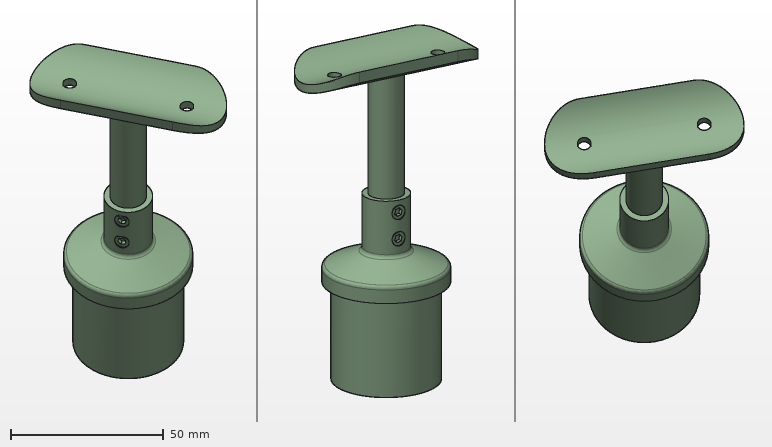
import cadquery as cq
import math

total_height = 115.3

plug_diameter = 36.4
plug_height = 34.0
flange_diameter = 42.4
rim_height = 39.8
neck_height = 45.2
collar_diameter = 16.0
collar_top = 64.9
shoulder_fillet = 1.5

rod_diameter = 12.0

saddle_length = 66.0
saddle_width = 28.0
saddle_thickness = 3.0
rail_radius = 21.2

saddle_hole_diameter = 4.5
saddle_hole_spacing = 40.0

set_screw_diameter = 5.0
socket_corner_diameter = 2.9
socket_angle = 15
set_screw_heights = (51.3, 60.5)
set_screw_recess = 0.5
socket_depth = 1.5

rail_sagitta = rail_radius - math.sqrt(rail_radius**2 - (saddle_width / 2) ** 2)
rail_axis_height = total_height - rail_sagitta + rail_radius
saddle_outer_radius = rail_radius + saddle_thickness
saddle_bottom = rail_axis_height - saddle_outer_radius
saddle_middle = saddle_bottom + saddle_thickness / 2


def make_base():
    """Revolved base with the two corners of its conical shoulder rounded."""
    profile = [
        (0, 0),
        (plug_diameter / 2, 0),
        (plug_diameter / 2, plug_height),
        (flange_diameter / 2, plug_height),
        (flange_diameter / 2, rim_height),
        (collar_diameter / 2, neck_height),
        (collar_diameter / 2, collar_top),
        (0, collar_top),
    ]
    body = cq.Workplane("XZ").polyline(profile).close().revolve(360, (0, 0), (0, 1))
    shoulder_box = cq.selectors.BoxSelector(
        (-flange_diameter, -flange_diameter, (plug_height + rim_height) / 2),
        (flange_diameter, flange_diameter, (neck_height + collar_top) / 2),
        boundingbox=True,
    )
    return body.edges(shoulder_box).edges("%CIRCLE").fillet(shoulder_fillet)


def make_rod():
    """Rod from the collar up to mid-thickness of the saddle."""
    rod_length = saddle_middle - collar_top
    return cq.Workplane("XY", origin=(0, 0, collar_top)).circle(rod_diameter / 2).extrude(rod_length)


def rail_cylinder(radius):
    """Cylinder on the handrail axis, as long as the saddle."""
    return (
        cq.Workplane("YZ")
        .center(0, rail_axis_height)
        .circle(radius)
        .extrude(saddle_length / 2, both=True)
    )


def make_saddle():
    """Curved shell trimmed to a round-ended plan."""
    plan = (
        cq.Workplane("XY", origin=(0, 0, saddle_bottom))
        .slot2D(saddle_length, saddle_width)
        .extrude(total_height - saddle_bottom)
    )
    return plan.intersect(rail_cylinder(saddle_outer_radius)).cut(rail_cylinder(rail_radius))


def make_saddle_holes():
    """Vertical screw holes through the saddle."""
    return (
        cq.Workplane("XY", origin=(0, 0, saddle_bottom))
        .pushPoints([(side * saddle_hole_spacing / 2, 0) for side in (-1, 1)])
        .circle(saddle_hole_diameter / 2)
        .extrude(total_height - saddle_bottom)
    )


def make_set_screw_recess(height):
    """Recess down to the screw face, with the hexagon socket behind it."""
    front = cq.Workplane("XZ", origin=(0, -collar_diameter / 2, height))
    recess = front.circle(set_screw_diameter / 2).extrude(-set_screw_recess)
    socket = (
        front.transformed(rotate=(0, 0, socket_angle))
        .polygon(6, socket_corner_diameter)
        .extrude(-set_screw_recess - socket_depth)
    )
    return recess.union(socket)


result = make_base().union(make_rod()).union(make_saddle()).cut(make_saddle_holes())
for screw_height in set_screw_heights:
    result = result.cut(make_set_screw_recess(screw_height))